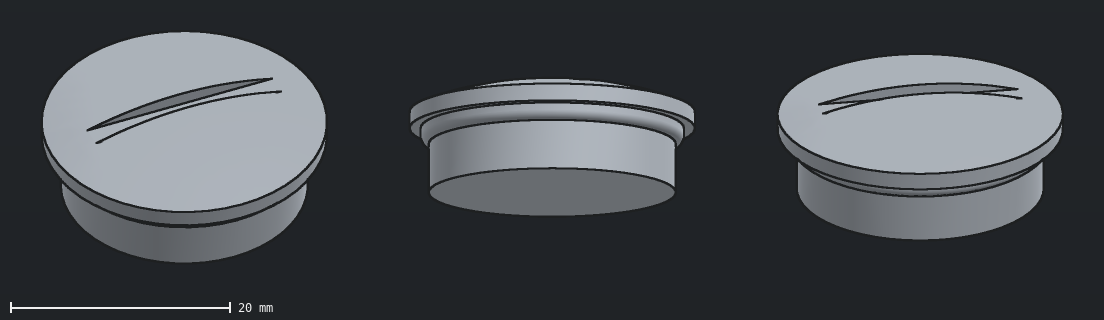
import cadquery as cq

head_diameter = 26.0
seal_diameter = 24.0
shank_diameter = 22.52
shank_height = 4.5
seal_height = 1.45
rim_height = 1.55
dome_height = 2.47
seal_round = 0.75
slot_width = 2.0
slot_depth = 1.22

seal_top = shank_height + seal_height
rim_top = seal_top + rim_height
total_height = rim_top + dome_height
head_radius = head_diameter / 2
dome_radius = (head_radius**2 + dome_height**2) / (2 * dome_height)


def disc(diameter, bottom, height):
    """Coaxial cylinder standing on the given level."""
    return cq.Workplane("XY").workplane(offset=bottom).circle(diameter / 2).extrude(height)


def dome():
    """Spherical cap sitting on the rim."""
    ball = cq.Workplane("XY").sphere(dome_radius).translate((0, 0, total_height - dome_radius))
    return disc(head_diameter, rim_top, dome_height).intersect(ball)


def driver_slot():
    """Flat-bottomed slot along Y, running out through the dome surface."""
    return (
        cq.Workplane("XY")
        .workplane(offset=total_height - slot_depth)
        .rect(slot_width, head_diameter)
        .extrude(slot_depth)
    )


shank = disc(shank_diameter, 0, shank_height)
seal = disc(seal_diameter, shank_height, seal_height).faces("<Z").edges().fillet(seal_round)
rim = disc(head_diameter, seal_top, rim_height)

result = shank.union(seal).union(rim).union(dome()).cut(driver_slot())